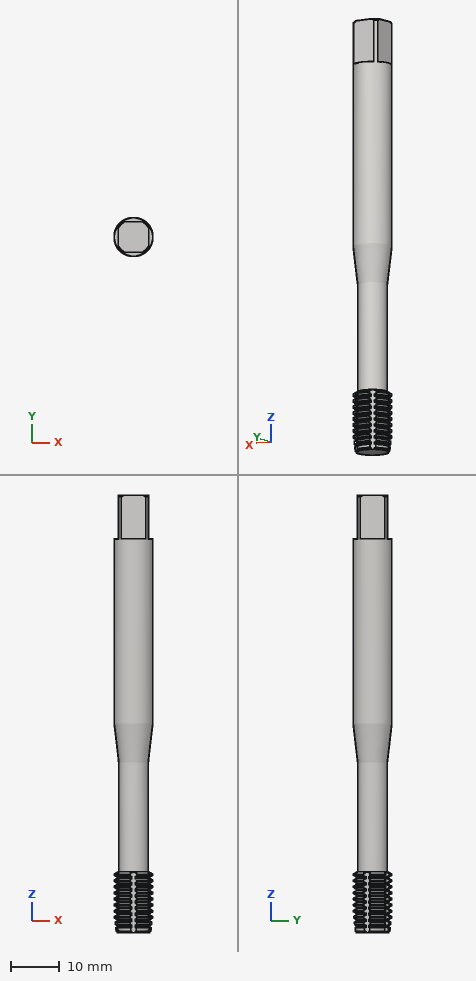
import cadquery as cq
import math

total_length = 90.0
shank_diameter = 8.0
shank_radius = shank_diameter / 2

square_width = 6.2
square_length = 9.0
square_chamfer = 0.4

neck_radius = 3.1
neck_taper_bottom = 35.0
neck_taper_top = 43.0

ring_count = 10
top_crest_z = 12.0
crest_span = 11.25
thread_pitch = crest_span / (ring_count - 1)
crest_radius = shank_radius
root_radius = 3.3
crest_flat = thread_pitch / 8
flank_slope = math.tan(math.radians(30))
flank_height = (crest_radius - root_radius) * flank_slope
head_length = top_crest_z + crest_flat / 2 + (crest_radius - neck_radius) * flank_slope

lead_end_radius = 3.5
lead_length = 3.8

groove_count = 5
groove_radius = 0.7
groove_floor_radius = 3.2
first_groove_angle = -90.0


def revolve_about_z(points):
    """Turn a closed (radius, z) outline about Z, with its seam on the -Y side."""
    outline = [(-radius, z) for radius, z in points]
    return cq.Workplane("YZ").polyline(outline).close().revolve(360, (0, 0), (0, 1))


def make_shank():
    """Neck, taper and shank, with the drive square cut from the top of the shank."""
    chamfered_top_radius = shank_radius - square_chamfer
    shank = revolve_about_z([
        (0, head_length),
        (neck_radius, head_length),
        (neck_radius, neck_taper_bottom),
        (shank_radius, neck_taper_top),
        (shank_radius, total_length - square_chamfer),
        (chamfered_top_radius, total_length),
        (0, total_length),
    ])
    around_square = (
        cq.Workplane("XY")
        .workplane(offset=total_length - square_length)
        .rect(2 * shank_diameter, 2 * shank_diameter)
        .rect(square_width, square_width)
        .extrude(square_length)
    )
    return shank.cut(around_square).solids()


def make_thread_rings():
    """Core with evenly spaced rings; its top flank slopes in to the neck."""
    lowest_crest_z = top_crest_z - crest_span
    outline = [(0, 0), (root_radius, 0)]
    for ring in range(ring_count):
        crest_z = lowest_crest_z + ring * thread_pitch
        outline += [
            (root_radius, crest_z - crest_flat / 2 - flank_height),
            (crest_radius, crest_z - crest_flat / 2),
            (crest_radius, crest_z + crest_flat / 2),
            (root_radius, crest_z + crest_flat / 2 + flank_height),
        ]
    outline[-1] = (neck_radius, head_length)
    outline.append((0, head_length))
    return revolve_about_z(outline)


def make_lead_envelope():
    """Space the head may fill: a cylinder that tapers over the lead and ends at z = 0."""
    return revolve_about_z([
        (0, 0),
        (lead_end_radius, 0),
        (crest_radius, lead_length),
        (crest_radius, head_length),
        (0, head_length),
    ])


def make_grooves():
    """Round-bottomed cutters, evenly spaced around the head and as long as it."""
    return (
        cq.Workplane("XY")
        .polarArray(groove_floor_radius + groove_radius, first_groove_angle, 360, groove_count)
        .circle(groove_radius)
        .extrude(head_length)
    )


def make_threaded_head():
    """Ringed head with its tapered lead and lubrication grooves."""
    return make_thread_rings().intersect(make_lead_envelope()).cut(make_grooves()).solids()


shank = make_shank()
threaded_head = make_threaded_head()

result = cq.Compound.makeCompound([shank.val(), threaded_head.val()])